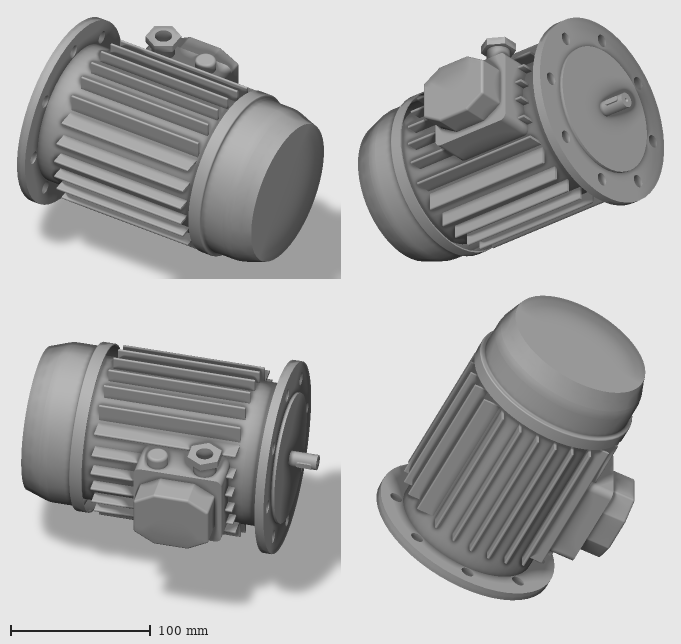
import cadquery as cq
import math


spigot_start = 20.2
flange_start = 22.7
flange_end = 29.3
stator_start = 42.8
fin_start = 48.2
fin_end = 152.6
skirt_start = 159.2
stator_end = 169.0
skirt_end = 168.5
shoulder_start = 185.6
motor_length = 206.0

shaft_radius = 5.5
spigot_radius = 47.5
flange_radius = 70.0
bolt_circle_radius = 57.5
bolt_hole_diameter = 9.5
bolt_count = 8
key_start = 3.0
key_length = 12.0
key_width = 4.0
key_top = 6.5
centre_hole_diameter = 1.6
centre_sink_diameter = 3.3
centre_hole_depth = 5.2

body_radius = 52.0
fin_tip_radius = 61.4
fin_thickness = 2.0
fin_pitch = 14.0
fins_per_side = 6
outermost_fin = fin_pitch * (fins_per_side - 1) / 2
fin_root = outermost_fin - fin_thickness / 2

skirt_radius = 61.4
cover_wall = 1.0
skirt_edge_round = 0.8
cover_radius = 58.0
cover_root_round = 1.2
taper_angle = 18.7
shoulder_radius = 20.5

box_centre_x = 85.7
base_length = 64.9
base_width = 55.6
base_top = 71.7
base_corner_radius = 5.0
cap_length = 55.2
cap_width = 45.0
cap_top = flange_radius + 21.8
cap_cut_x = 15.0
cap_cut_z = 8.7
cap_edge_round = 1.9

gland_x = 68.2
plug_x = 103.0
entry_y = 61.4
gland_neck_radius = 8.5
gland_hex_start = 37.5
gland_hex_end = 43.0
gland_hex_flats = 22.2
gland_bore_diameter = 12.4
plug_radius = 7.6
plug_end = 36.0
plug_edge_round = 2.0


def rod(radius, start, end):
    """Cylinder on the motor axis between two X stations."""
    return cq.Workplane("YZ", origin=(start, 0, 0)).circle(radius).extrude(end - start)


def make_shaft_key():
    """Round-ended key lying along the +Y side of the shaft."""
    centre = (key_start + key_length / 2, 0, 0)
    key_plane = cq.Plane(origin=centre, xDir=(1, 0, 0), normal=(0, 1, 0))
    return cq.Workplane(key_plane).slot2D(key_length, key_width).extrude(key_top)


def make_front_shield():
    """Flange and neck with the shaft and its key."""
    shield = (
        rod(flange_radius, flange_start, flange_end)
        .union(rod(spigot_radius, spigot_start, flange_start))
        .union(rod(body_radius, flange_end, stator_start))
    )
    bolt_holes = (
        cq.Workplane("YZ", origin=(flange_start, 0, 0))
        .polarArray(bolt_circle_radius, 0, 360, bolt_count)
        .circle(bolt_hole_diameter / 2)
        .extrude(flange_end - flange_start)
    )
    shaft = (
        rod(shaft_radius, 0, spigot_start)
        .faces("<X")
        .workplane()
        .cskHole(centre_hole_diameter, centre_sink_diameter, 60, centre_hole_depth)
    )
    return shield.cut(bolt_holes).union(shaft).union(make_shaft_key())


def make_fin(offset):
    """Upright fin with a full-round tip, at an offset in Y from the motor axis."""
    tip = math.sqrt(fin_tip_radius**2 - offset**2)
    half = fin_thickness / 2
    return (
        cq.Workplane("YZ", origin=(fin_start, offset, 0))
        .moveTo(-half, fin_root)
        .lineTo(-half, tip - half)
        .threePointArc((0, tip), (half, tip - half))
        .lineTo(half, fin_root)
        .close()
        .extrude(fin_end - fin_start)
    )


def add_fins(housing):
    """The housing with parallel fins on all four sides, their tips on one cylinder."""
    for side in range(4):
        for index in range(fins_per_side):
            fin = make_fin(index * fin_pitch - outermost_fin)
            housing = housing.union(fin.rotate((0, 0, 0), (1, 0, 0), 90 * side))
    return housing


def box_plane(y):
    """Plane facing +Y over the terminal box centre, with its local y along -Z."""
    return cq.Plane(origin=(box_centre_x, y, 0), xDir=(1, 0, 0), normal=(0, 1, 0))


def make_terminal_box():
    """Rounded base with a cap whose corners are cut off."""
    base = (
        cq.Workplane(box_plane(0))
        .rect(base_length, base_width)
        .extrude(base_top)
        .edges("|Y")
        .fillet(base_corner_radius)
    )
    half_length = cap_length / 2
    half_width = cap_width / 2
    cap = (
        cq.Workplane(box_plane(base_top))
        .polyline(
            [
                (half_length, half_width - cap_cut_z),
                (half_length - cap_cut_x, half_width),
                (cap_cut_x - half_length, half_width),
                (-half_length, half_width - cap_cut_z),
                (-half_length, cap_cut_z - half_width),
                (cap_cut_x - half_length, -half_width),
                (half_length - cap_cut_x, -half_width),
                (half_length, cap_cut_z - half_width),
            ]
        )
        .close()
        .extrude(cap_top - base_top)
        .edges("|Y or >Y")
        .fillet(cap_edge_round)
    )
    return base.union(cap)


def make_gland():
    """Hexagonal cable gland on a round neck, without its bore."""
    neck = cq.Workplane("XY").circle(gland_neck_radius).extrude(gland_hex_end)
    hexagon = (
        cq.Workplane("XY", origin=(0, 0, gland_hex_start))
        .transformed(rotate=(0, 0, 90))
        .polygon(6, gland_hex_flats / math.cos(math.pi / 6))
        .extrude(gland_hex_end - gland_hex_start)
    )
    return neck.union(hexagon).translate((gland_x, entry_y, 0))


def make_gland_bore():
    """Bore of the cable gland, down to the face of the box."""
    box_face = base_width / 2
    return (
        cq.Workplane("XY", origin=(gland_x, entry_y, box_face))
        .circle(gland_bore_diameter / 2)
        .extrude(gland_hex_end - box_face)
    )


def make_plug():
    """Round blanking plug with a rounded rim."""
    return (
        cq.Workplane("XY", origin=(plug_x, entry_y, 0))
        .circle(plug_radius)
        .extrude(plug_end)
        .faces(">Z")
        .edges()
        .fillet(plug_edge_round)
    )


def make_stator():
    """Finned stator housing with the terminal box and its cable entries."""
    housing = rod(body_radius, stator_start, stator_end)
    return (
        add_fins(housing)
        .union(make_terminal_box())
        .union(make_gland())
        .union(make_plug())
        .cut(make_gland_bore())
    )


def cover_profile(inset):
    """Solid of revolution with the cover's outline, moved inward by the inset."""
    rim_radius = skirt_radius - inset
    step_x = skirt_end - inset
    tube_radius = cover_radius - inset
    root_round = cover_root_round + inset
    root_offset = root_round * (1 - math.sqrt(0.5))
    bend_radius = shoulder_radius - inset

    def shoulder_point(angle):
        """Point on the shoulder arc after it has turned by the angle (degrees)."""
        turn = math.radians(angle)
        return (
            shoulder_start + bend_radius * math.sin(turn),
            tube_radius - bend_radius * (1 - math.cos(turn)),
        )

    arc_end_x, arc_end_radius = shoulder_point(taper_angle)
    end_x = motor_length - inset
    end_radius = arc_end_radius - (end_x - arc_end_x) * math.tan(math.radians(taper_angle))
    return (
        cq.Workplane("XY")
        .moveTo(skirt_start, 0)
        .lineTo(skirt_start, rim_radius)
        .lineTo(step_x, rim_radius)
        .lineTo(step_x, tube_radius + root_round)
        .threePointArc(
            (step_x + root_offset, tube_radius + root_offset),
            (step_x + root_round, tube_radius),
        )
        .lineTo(shoulder_start, tube_radius)
        .threePointArc(shoulder_point(taper_angle / 2), (arc_end_x, arc_end_radius))
        .lineTo(end_x, end_radius)
        .lineTo(end_x, 0)
        .close()
        .revolve(360, (0, 0, 0), (1, 0, 0))
    )


def make_fan_cover():
    """Hollow rear cover: a wide skirt, a narrower tube and a tapered closed end."""
    outside = cover_profile(0)
    rim_edge = cq.selectors.RadiusNthSelector(-1)
    outside = outside.faces("<X[1]").edges(rim_edge).fillet(skirt_edge_round)
    return outside.cut(cover_profile(cover_wall))


front_shield = make_front_shield()
stator = make_stator()
fan_cover = make_fan_cover()

result = cq.Compound.makeCompound([front_shield.val(), stator.val(), fan_cover.val()])